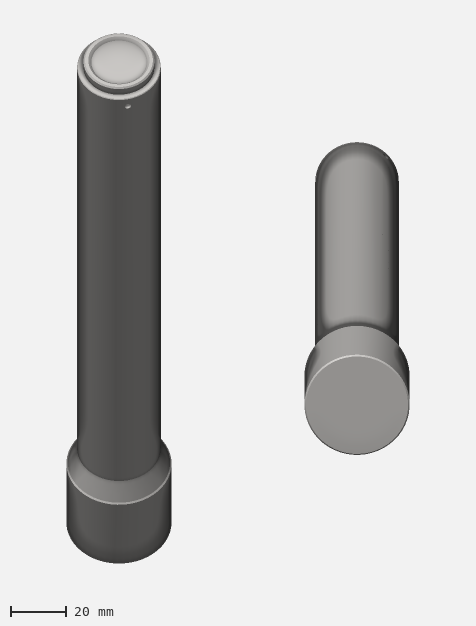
import cadquery as cq

length = 268.8
shoulder_height = 265.0
cone_top_height = 43.5
cone_bottom_height = 35.2

base_diameter = 38.0
body_diameter = 30.0
collar_diameter = 25.5
recess_diameter = 20.0

base_chamfer = 0.5
shoulder_chamfer = 0.3
collar_chamfer = 0.5
recess_depth = 1.0
recess_bevel = 1.0

hole_count = 3
hole_diameter = 2.5
hole_depth = 2.7
hole_height = 260.7
first_hole_angle = 85.0


def cylinder(diameter, bottom, top):
    """Cylinder on the Z axis between two heights."""
    return cq.Workplane("XY").workplane(offset=bottom).circle(diameter / 2).extrude(top - bottom)


def radial_hole(angle):
    """Blind hole drilled toward the axis from the body surface."""
    hole_floor = body_diameter / 2 - hole_depth
    cutter = (
        cq.Workplane("YZ")
        .workplane(offset=hole_floor)
        .center(0, hole_height)
        .circle(hole_diameter / 2)
        .extrude(2 * hole_depth)
    )
    return cutter.rotate((0, 0, 0), (0, 0, 1), angle)


base = cylinder(base_diameter, 0, cone_bottom_height).edges().chamfer(base_chamfer)

cone = (
    cq.Workplane("XY")
    .workplane(offset=cone_bottom_height)
    .circle(base_diameter / 2 - base_chamfer)
    .workplane(offset=cone_top_height - cone_bottom_height)
    .circle(body_diameter / 2)
    .loft(ruled=True)
)

body = cylinder(body_diameter, cone_top_height, shoulder_height).faces(">Z").edges().chamfer(shoulder_chamfer)
collar = cylinder(collar_diameter, shoulder_height, length).faces(">Z").edges().chamfer(collar_chamfer)

recess = (
    cq.Workplane("XY")
    .workplane(offset=length - recess_depth)
    .circle(recess_diameter / 2)
    .workplane(offset=recess_depth)
    .circle(recess_diameter / 2 + recess_bevel)
    .loft(ruled=True)
)

result = base.union(cone).union(body).union(collar).cut(recess)
for index in range(hole_count):
    result = result.cut(radial_hole(first_hole_angle + index * 360 / hole_count))